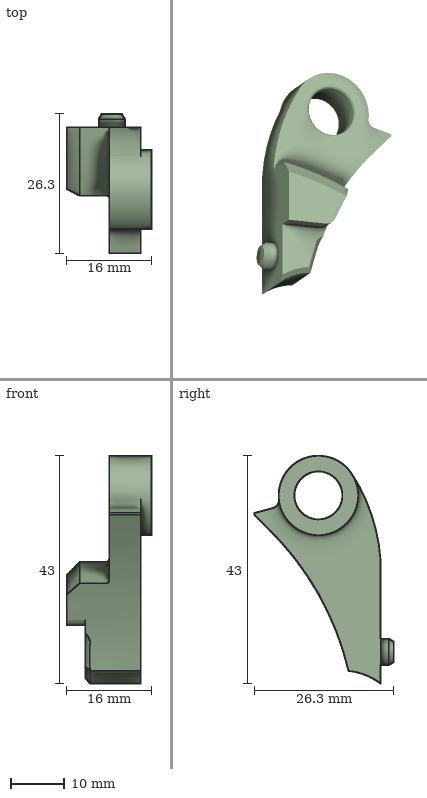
import cadquery as cq
import math

BLOCK_FACE_X = -8.0
FOOT_FACE_X = -4.5
PLATE_FACE_X = 0.0
PLATE_BACK_X = 6.0
BOSS_BACK_X = 8.0

BOSS_RADIUS = 7.5
BORE_RADIUS = 4.5
BORE_ROUNDING = 0.5

FLAT_Y = 11.75
SHOULDER_RADIUS = 34.0
SHOULDER_CENTER_Z = -14.5

BEAK_TIP = (-12.09, -3.31)
BEAK_TIP_HEIGHT = 0.35
BEAK_SLOPE = math.radians(15.0)
BEAK_FILLET = 1.5

HOLLOW_START = (-9.55, -6.2)
HOLLOW_RADIUS = 55.0

TOE = (FLAT_Y, -35.49)
HEEL = (5.66, -33.1)
SOLE_RADIUS = 12.15

CROWN_RADIUS = 60.0
CROWN_HIGH = (FLAT_Y, -12.5)
CROWN_LOW = (-1.15, -16.5)
CROWN_CHAMFER = 2.5
CROWN_FILLET = 0.5

STEP_Z = -24.5
STEP_ARC_START_Y = 4.45
STEP_ARC_RADIUS = 2.5
STEP_ARC_TURN = math.radians(50.0)

FOOT_CHAMFER = 0.9
FOOT_CHAMFER_ANGLE_DEG = 45.0
SIDE_CHAMFER_CORNER = (6.4, -32.35)
SIDE_CHAMFER_BEND = (4.97, -27.4)
SIDE_RUNOUT_RADIUS = 2.0
SIDE_RUNOUT_TURN = math.radians(60.0)

PIN_X = 0.5
PIN_Z = -29.5
PIN_RADIUS = 2.5
PIN_LENGTH = 2.5
PIN_TAPER_LENGTH = 1.0
PIN_TAPER_ANGLE = math.radians(30.0)

CLEARANCE = 10.0

PICK_MARGIN = 1.0


def yz_plane(x):
    """Sketch plane facing +X at the given X position."""
    return cq.Workplane("YZ", origin=(x, 0, 0))


def polar(center, radius, angle):
    return (center[0] + radius * math.cos(angle), center[1] + radius * math.sin(angle))


def circle_center(first, second, radius):
    """Center of the circle through two points, on the right of the path first -> second."""
    dy = second[0] - first[0]
    dz = second[1] - first[1]
    chord = math.hypot(dy, dz)
    height = math.sqrt(radius**2 - (chord / 2) ** 2)
    middle_y = (first[0] + second[0]) / 2
    middle_z = (first[1] + second[1]) / 2
    return (middle_y + height * dz / chord, middle_z - height * dy / chord)


def arc_middle(first, second, center):
    """Point halfway along the shorter arc between two points of a circle."""
    radius = math.dist(first, center)
    toward_y = (first[0] + second[0]) / 2 - center[0]
    toward_z = (first[1] + second[1]) / 2 - center[1]
    return polar(center, radius, math.atan2(toward_z, toward_y))


SOLE_CENTER = circle_center(HEEL, TOE, SOLE_RADIUS)


def make_outline(start_x, end_x):
    """Full side outline of the part, extruded between two X positions."""
    origin = (0.0, 0.0)

    shoulder_reach = SHOULDER_RADIUS - BOSS_RADIUS
    shoulder_center = (-math.sqrt(shoulder_reach**2 - SHOULDER_CENTER_Z**2), SHOULDER_CENTER_Z)
    shoulder_angle = math.atan2(-shoulder_center[1], -shoulder_center[0])
    shoulder_top = polar(origin, BOSS_RADIUS, shoulder_angle)
    flat_angle = math.acos((FLAT_Y - shoulder_center[0]) / SHOULDER_RADIUS)
    shoulder_bottom = polar(shoulder_center, SHOULDER_RADIUS, flat_angle)
    shoulder_middle = arc_middle(shoulder_top, shoulder_bottom, shoulder_center)

    normal_y = -math.sin(BEAK_SLOPE)
    normal_z = math.cos(BEAK_SLOPE)
    normal_angle = math.atan2(normal_z, normal_y)
    fillet_height = BEAK_TIP[0] * normal_y + BEAK_TIP[1] * normal_z + BEAK_FILLET
    fillet_angle = normal_angle + math.acos(fillet_height / (BOSS_RADIUS + BEAK_FILLET))
    fillet_center = polar(origin, BOSS_RADIUS + BEAK_FILLET, fillet_angle)
    fillet_top = polar(origin, BOSS_RADIUS, fillet_angle)
    fillet_bottom = polar(fillet_center, BEAK_FILLET, normal_angle + math.pi)
    fillet_middle = arc_middle(fillet_top, fillet_bottom, fillet_center)

    boss_middle = polar(origin, BOSS_RADIUS, (shoulder_angle + fillet_angle) / 2)
    hollow_center = circle_center(HOLLOW_START, HEEL, HOLLOW_RADIUS)

    return (
        yz_plane(start_x)
        .moveTo(*TOE)
        .lineTo(*shoulder_bottom)
        .threePointArc(shoulder_middle, shoulder_top)
        .threePointArc(boss_middle, fillet_top)
        .threePointArc(fillet_middle, fillet_bottom)
        .lineTo(*BEAK_TIP)
        .lineTo(BEAK_TIP[0], BEAK_TIP[1] - BEAK_TIP_HEIGHT)
        .lineTo(*HOLLOW_START)
        .threePointArc(arc_middle(HOLLOW_START, HEEL, hollow_center), HEEL)
        .threePointArc(arc_middle(HEEL, TOE, SOLE_CENTER), TOE)
        .close()
        .extrude(end_x - start_x)
    )


def make_block():
    """Raised block: the outline limited by a large disc with a chamfered rim."""
    crown_center = circle_center(CROWN_LOW, CROWN_HIGH, CROWN_RADIUS)
    disc = (
        yz_plane(BLOCK_FACE_X)
        .center(*crown_center)
        .circle(CROWN_RADIUS)
        .extrude(PLATE_FACE_X - BLOCK_FACE_X)
        .faces("<X")
        .chamfer(CROWN_CHAMFER)
    )
    return make_outline(BLOCK_FACE_X, PLATE_FACE_X).intersect(disc)


def make_boss():
    return yz_plane(PLATE_FACE_X).circle(BOSS_RADIUS).extrude(BOSS_BACK_X - PLATE_FACE_X)


def fillet_crown(body):
    """Round the inner corner between the crowned block and the plate."""
    corner_box = cq.selectors.BoxSelector(
        (PLATE_FACE_X - PICK_MARGIN, CROWN_LOW[0] - PICK_MARGIN, CROWN_LOW[1] - PICK_MARGIN),
        (PLATE_FACE_X + PICK_MARGIN, CROWN_HIGH[0] + PICK_MARGIN, CROWN_HIGH[1] + PICK_MARGIN),
    )
    return body.edges(corner_box).edges("%CIRCLE").fillet(CROWN_FILLET)


def make_bore():
    """Through bore."""
    return yz_plane(PLATE_FACE_X).circle(BORE_RADIUS).extrude(BOSS_BACK_X - PLATE_FACE_X)


def make_step_cut():
    """Removes the -X layer below the block; the step curves up toward -Y."""
    arc_center = (STEP_ARC_START_Y, STEP_Z + STEP_ARC_RADIUS)
    arc_start = (STEP_ARC_START_Y, STEP_Z)
    arc_end = polar(arc_center, STEP_ARC_RADIUS, -math.pi / 2 - STEP_ARC_TURN)
    exit_point = polar(arc_end, CLEARANCE, math.pi - STEP_ARC_TURN)
    far_y = FLAT_Y + CLEARANCE
    far_z = TOE[1] - CLEARANCE
    return (
        yz_plane(BLOCK_FACE_X)
        .moveTo(far_y, STEP_Z)
        .lineTo(*arc_start)
        .threePointArc(arc_middle(arc_start, arc_end, arc_center), arc_end)
        .lineTo(*exit_point)
        .lineTo(exit_point[0], far_z)
        .lineTo(far_y, far_z)
        .close()
        .extrude(FOOT_FACE_X - BLOCK_FACE_X)
    )


def make_sole_chamfer():
    """Cone around the axis of the hollow sole."""
    rim = cq.Solid.makeCone(
        SOLE_RADIUS + FOOT_CHAMFER,
        SOLE_RADIUS,
        FOOT_CHAMFER,
        pnt=cq.Vector(FOOT_FACE_X, *SOLE_CENTER),
        dir=cq.Vector(1, 0, 0),
    )
    return cq.Workplane(obj=rim)


def make_side_chamfer():
    """Tapered cut along the hollow side of the foot, running out in an arc."""
    corner_y, corner_z = SIDE_CHAMFER_CORNER
    bend_y, bend_z = SIDE_CHAMFER_BEND
    heading = math.atan2(bend_z - corner_z, bend_y - corner_y)
    arc_center = polar(SIDE_CHAMFER_BEND, SIDE_RUNOUT_RADIUS, heading + math.pi / 2)
    arc_start_angle = heading - math.pi / 2
    arc_mid = polar(arc_center, SIDE_RUNOUT_RADIUS, arc_start_angle + SIDE_RUNOUT_TURN / 2)
    arc_end = polar(arc_center, SIDE_RUNOUT_RADIUS, arc_start_angle + SIDE_RUNOUT_TURN)
    lead_in = polar(SIDE_CHAMFER_CORNER, CLEARANCE, heading + math.pi)
    run_out = polar(arc_end, CLEARANCE, heading + SIDE_RUNOUT_TURN)
    return (
        yz_plane(FOOT_FACE_X)
        .moveTo(*lead_in)
        .lineTo(*SIDE_CHAMFER_BEND)
        .threePointArc(arc_mid, arc_end)
        .lineTo(*run_out)
        .close()
        .extrude(FOOT_CHAMFER, taper=FOOT_CHAMFER_ANGLE_DEG)
    )


def make_pin():
    """Pin on the flat side with a tapered tip, turned about an axis along Y."""
    tip_radius = PIN_RADIUS - PIN_TAPER_LENGTH * math.tan(PIN_TAPER_ANGLE)
    root_y = FLAT_Y - PIN_LENGTH
    end_y = FLAT_Y + PIN_LENGTH
    return (
        cq.Workplane("YZ", origin=(PIN_X, 0, PIN_Z))
        .moveTo(root_y, 0)
        .lineTo(root_y, PIN_RADIUS)
        .lineTo(end_y - PIN_TAPER_LENGTH, PIN_RADIUS)
        .lineTo(end_y, tip_radius)
        .lineTo(end_y, 0)
        .close()
        .revolve(360, (0, 0, 0), (1, 0, 0))
    )


def round_bore_mouth(body):
    """Round the -X edge of the bore."""
    half_box = BORE_RADIUS + PICK_MARGIN
    mouth_box = cq.selectors.BoxSelector(
        (PLATE_FACE_X - PICK_MARGIN, -half_box, -half_box),
        (PLATE_FACE_X + PICK_MARGIN, half_box, half_box),
        boundingbox=True,
    )
    return body.edges(mouth_box).fillet(BORE_ROUNDING)


body = make_outline(PLATE_FACE_X, PLATE_BACK_X).union(make_block())
body = fillet_crown(body)
body = body.union(make_boss()).cut(make_bore())
body = round_bore_mouth(body)
body = body.cut(make_step_cut())
body = body.cut(make_sole_chamfer()).cut(make_side_chamfer())
result = body.union(make_pin())